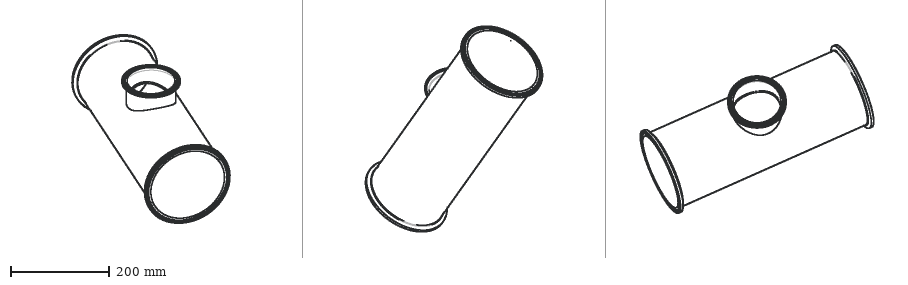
import cadquery as cq
import math

run_length = 440.0
run_outer_radius = 165.0 / 2
run_bore_radius = 159.5 / 2
run_flange_radius = 183.0 / 2
run_rim_thickness = 5.5
run_groove_radius = 86.5

branch_top = 117.5
branch_outer_radius = 101.5 / 2
branch_bore_radius = 97.5 / 2
branch_flange_radius = 119.0 / 2
branch_rim_thickness = 2.85
branch_groove_radius = 54.5

flange_back_angle = math.radians(20)
root_fillet = 1.8
groove_width = 4.2
groove_floor_width = 2.0
groove_depth = 1.8


def clamp_flange(face_height, pipe_radius, flange_radius, rim_thickness, groove_radius):
    """Solid flange facing +Z, cone-backed, with a gasket groove."""
    rim_back = face_height - rim_thickness
    cone_end = rim_back - (flange_radius - pipe_radius) * math.tan(flange_back_angle)

    middle_angle = (math.pi / 2 - flange_back_angle) / 2
    tangent_length = root_fillet * math.tan(middle_angle)
    fillet_on_cone = (
        pipe_radius + tangent_length * math.cos(flange_back_angle),
        cone_end + tangent_length * math.sin(flange_back_angle),
    )
    fillet_end = cone_end - tangent_length
    fillet_on_pipe = (pipe_radius, fillet_end)
    fillet_middle = (
        pipe_radius + root_fillet * (1 - math.cos(middle_angle)),
        fillet_end + root_fillet * math.sin(middle_angle),
    )
    body = (
        cq.Workplane("XZ")
        .moveTo(0, fillet_end)
        .lineTo(*fillet_on_pipe)
        .threePointArc(fillet_middle, fillet_on_cone)
        .lineTo(flange_radius, rim_back)
        .lineTo(flange_radius, face_height)
        .lineTo(0, face_height)
        .close()
        .revolve(360, (0, 0), (0, 1))
    )

    groove_floor = face_height - groove_depth
    groove = (
        cq.Workplane("XZ")
        .moveTo(groove_radius - groove_width / 2, face_height)
        .lineTo(groove_radius - groove_floor_width / 2, groove_floor)
        .lineTo(groove_radius + groove_floor_width / 2, groove_floor)
        .lineTo(groove_radius + groove_width / 2, face_height)
        .close()
        .revolve(360, (0, 0), (0, 1))
    )
    return body.cut(groove)


def run_pipe():
    """Solid main pipe with a clamp flange at each end."""
    flange = clamp_flange(
        run_length / 2, run_outer_radius, run_flange_radius, run_rim_thickness, run_groove_radius
    )
    pipe_length = run_length - 2 * run_rim_thickness
    pipe = cq.Workplane("YZ").circle(run_outer_radius).extrude(pipe_length / 2, both=True)
    for turn in (-90, 90):
        pipe = pipe.union(flange.rotate((0, 0, 0), (0, 1, 0), turn))
    return pipe


def branch_pipe():
    """Solid branch pipe with a clamp flange at its top."""
    flange = clamp_flange(
        branch_top, branch_outer_radius, branch_flange_radius, branch_rim_thickness, branch_groove_radius
    )
    pipe_length = branch_top - branch_rim_thickness
    pipe = cq.Workplane("XY").circle(branch_outer_radius).extrude(pipe_length)
    return pipe.union(flange)


run_bore = cq.Workplane("YZ").circle(run_bore_radius).extrude(run_length / 2, both=True)
branch_bore = cq.Workplane("XY").circle(branch_bore_radius).extrude(branch_top)

result = run_pipe().union(branch_pipe()).cut(run_bore).cut(branch_bore)